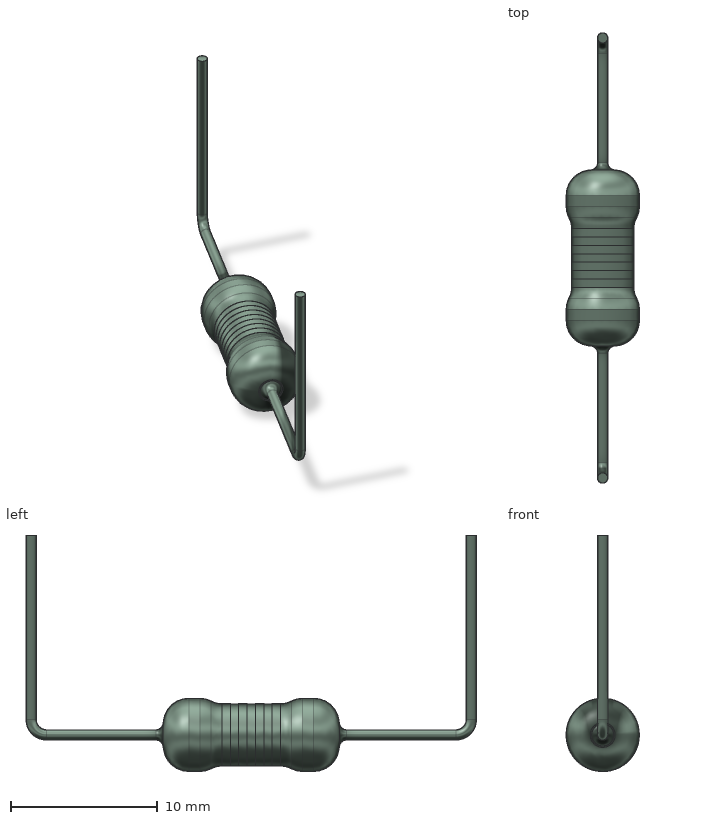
import cadquery as cq
import math


lead_diameter = 0.7
lead_pitch = 30.0
lead_top_z = 13.6
bend_radius = 1.5 * lead_diameter

body_length = 12.0
end_diameter = 5.0
waist_diameter = 4.25
dome_radius = 1.75
end_cylinder_length = 0.75
shoulder_length = 1.5
lead_fillet_radius = 0.5

band_diameter = 4.27
band_count = 4
waist_length = 4.0

lead_radius = lead_diameter / 2
end_radius = end_diameter / 2
waist_radius = waist_diameter / 2
half_body = body_length / 2
half_pitch = lead_pitch / 2
half_waist = waist_length / 2
shoulder_end = half_waist + shoulder_length
dome_start = shoulder_end + end_cylinder_length
band_width = waist_length / (2 * band_count - 1)


def make_end_cap():
    """Domed +Y end of the body, from the waist to the fillet onto the lead."""
    shoulder_step = (end_radius - waist_radius) / 2
    shoulder_half_length = shoulder_length / 2
    shoulder_arc_radius = (shoulder_step**2 + shoulder_half_length**2) / (2 * shoulder_step)
    shoulder_half_angle = math.asin(shoulder_half_length / shoulder_arc_radius) / 2
    shoulder_middle = (waist_radius + shoulder_step, half_waist + shoulder_half_length)
    lower_quarter = (
        waist_radius + shoulder_arc_radius * (1 - math.cos(shoulder_half_angle)),
        half_waist + shoulder_arc_radius * math.sin(shoulder_half_angle),
    )
    dome_tip = (end_radius - dome_radius, half_body)
    dome_middle = (
        dome_tip[0] + dome_radius * math.sqrt(0.5),
        dome_start + dome_radius * math.sqrt(0.5),
    )
    fillet_outer_radius = lead_radius + lead_fillet_radius
    fillet_top = half_body + lead_fillet_radius
    fillet_middle = (
        fillet_outer_radius - lead_fillet_radius * math.sqrt(0.5),
        fillet_top - lead_fillet_radius * math.sqrt(0.5),
    )
    return (
        cq.Workplane("XY")
        .moveTo(0, half_waist)
        .lineTo(waist_radius, half_waist)
        .threePointArc(lower_quarter, shoulder_middle)
        .tangentArcPoint((end_radius, shoulder_end), relative=False)
        .lineTo(end_radius, dome_start)
        .threePointArc(dome_middle, dome_tip)
        .lineTo(fillet_outer_radius, half_body)
        .threePointArc(fillet_middle, (lead_radius, fillet_top))
        .lineTo(0, fillet_top)
        .close()
        .revolve(360, (0, 0, 0), (0, 1, 0))
    )


def make_cylinder(diameter, start_y, length):
    """Solid cylinder about the Y axis, running from start_y toward +Y."""
    return cq.Workplane("XZ", origin=(0, start_y, 0)).circle(diameter / 2).extrude(-length)


def make_lead():
    """Lead on the +Y side, from the end of the waist out and up to its tip."""
    bend_start = half_pitch - bend_radius
    bend_middle = (
        bend_start + bend_radius * math.sqrt(0.5),
        bend_radius - bend_radius * math.sqrt(0.5),
    )
    path = (
        cq.Workplane("YZ")
        .moveTo(half_waist, 0)
        .lineTo(bend_start, 0)
        .threePointArc(bend_middle, (half_pitch, bend_radius))
        .lineTo(half_pitch, lead_top_z)
    )
    return cq.Workplane("XZ", origin=(0, half_waist, 0)).circle(lead_radius).sweep(path)


resistor_end = make_end_cap().union(make_lead())
waist = make_cylinder(waist_diameter, -half_waist, waist_length)
result = waist.union(resistor_end).union(resistor_end.mirror("XZ"))

for band_index in range(band_count):
    band_start = 2 * band_index * band_width - half_waist
    result = result.union(make_cylinder(band_diameter, band_start, band_width))